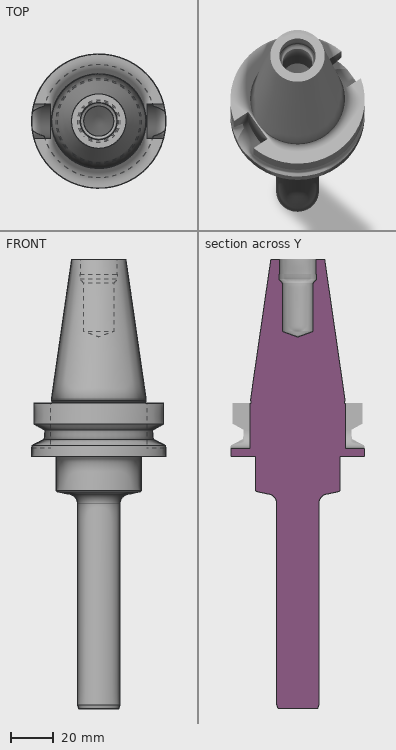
import cadquery as cq
import math

total_height = 210.5
taper_length = 65.5
neck_length = 1.9
base_land = 0.6
flange_height = 25.0
boss_height = 16.5

taper_top_diameter = 25.5
taper_base_diameter = 44.4
neck_diameter = 44.0
flange_diameter = 63.0
groove_diameter = 53.0
boss_diameter = 40.0
stem_diameter = 20.0

groove_start = 9.7
groove_end = 19.8
groove_side_angle = 30.0

boss_chamfer = 0.6
shoulder_height = 1.0
root_radius = 4.5
stem_chamfer_width = 0.6
stem_chamfer_height = 1.9

slot_width = 16.1
slot_depth = 21.0
slot_wall_distance = 22.5

mouth_diameter = 17.0
mouth_depth = 7.0
relief_diameter = 17.5
relief_depth = 9.3
pilot_diameter = 14.0
pilot_depth = 33.7
pilot_entry_height = 1.9
floor_cone_angle = 140.0

taper_base_z = total_height - taper_length
flange_top_z = taper_base_z - neck_length
flange_bottom_z = flange_top_z - flange_height
boss_bottom_z = flange_bottom_z - boss_height


def make_body():
    """Revolve the taper, flange, boss and stem as one profile."""
    flange_radius = flange_diameter / 2
    groove_radius = groove_diameter / 2
    boss_radius = boss_diameter / 2
    stem_radius = stem_diameter / 2
    groove_side_height = (flange_radius - groove_radius) * math.tan(math.radians(groove_side_angle))

    arc_center_radius = stem_radius + root_radius
    arc_start_z = boss_bottom_z - shoulder_height
    arc_center_z = arc_start_z - root_radius
    arc_mid_offset = root_radius * math.sqrt(0.5)
    arc_mid = (arc_center_radius - arc_mid_offset, arc_center_z + arc_mid_offset)

    profile = (
        cq.Workplane("XZ")
        .moveTo(0, total_height)
        .lineTo(taper_top_diameter / 2, total_height)
        .lineTo(taper_base_diameter / 2, taper_base_z)
        .lineTo(taper_base_diameter / 2, taper_base_z - base_land)
        .lineTo(neck_diameter / 2, taper_base_z - 2 * base_land)
        .lineTo(neck_diameter / 2, flange_top_z)
        .lineTo(flange_radius, flange_top_z)
        .lineTo(flange_radius, flange_top_z - groove_start)
        .lineTo(groove_radius, flange_top_z - groove_start - groove_side_height)
        .lineTo(groove_radius, flange_top_z - groove_end + groove_side_height)
        .lineTo(flange_radius, flange_top_z - groove_end)
        .lineTo(flange_radius, flange_bottom_z)
        .lineTo(boss_radius, flange_bottom_z)
        .lineTo(boss_radius, boss_bottom_z + boss_chamfer)
        .lineTo(boss_radius - boss_chamfer, boss_bottom_z)
        .lineTo(arc_center_radius, arc_start_z)
        .threePointArc(arc_mid, (stem_radius, arc_center_z))
        .lineTo(stem_radius, stem_chamfer_height)
        .lineTo(stem_radius - stem_chamfer_width, 0)
        .lineTo(0, 0)
        .close()
    )
    return profile.revolve(360, (0, 0, 0), (0, 1, 0))


def make_drive_slot(side):
    """Round-bottomed slot open at the flange top, on the +X (1) or -X (-1) side."""
    slot_radius = slot_width / 2
    slot_bottom_z = flange_top_z - slot_depth
    slot_length = flange_diameter / 2
    return (
        cq.Workplane("YZ", origin=(side * slot_wall_distance, 0, 0))
        .moveTo(-slot_radius, flange_top_z)
        .lineTo(-slot_radius, slot_bottom_z + slot_radius)
        .threePointArc((0, slot_bottom_z), (slot_radius, slot_bottom_z + slot_radius))
        .lineTo(slot_radius, flange_top_z)
        .close()
        .extrude(side * slot_length)
    )


def make_bore():
    """Bore mouth with a slightly wider relief, chamfered down to a pilot hole with a conical floor."""
    mouth_radius = mouth_diameter / 2
    relief_radius = relief_diameter / 2
    pilot_radius = pilot_diameter / 2
    cone_height = pilot_radius / math.tan(math.radians(floor_cone_angle / 2))
    mouth_end_z = total_height - mouth_depth
    relief_end_z = total_height - relief_depth
    pilot_end_z = total_height - pilot_depth
    return (
        cq.Workplane("XZ")
        .moveTo(0, total_height)
        .lineTo(mouth_radius, total_height)
        .lineTo(mouth_radius, mouth_end_z)
        .lineTo(relief_radius, mouth_end_z)
        .lineTo(relief_radius, relief_end_z)
        .lineTo(pilot_radius, relief_end_z - pilot_entry_height)
        .lineTo(pilot_radius, pilot_end_z)
        .lineTo(0, pilot_end_z - cone_height)
        .close()
        .revolve(360, (0, 0, 0), (0, 1, 0))
    )


result = make_body().cut(make_bore())
for side in (-1, 1):
    result = result.cut(make_drive_slot(side))